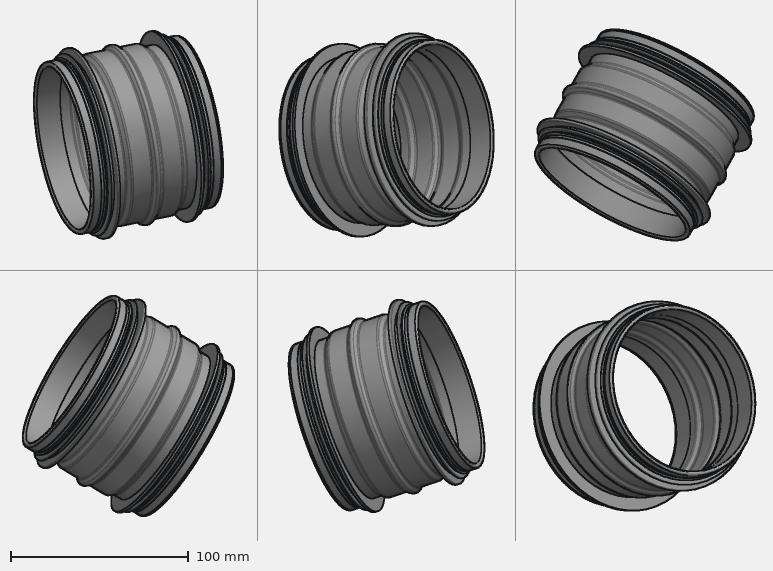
import cadquery as cq
import math

sheet = 0.5
length = 79.0
neck_outer_r = 94.25 / 2
body_outer_r = 99.05 / 2
neck_inner_r = neck_outer_r - sheet
body_inner_r = body_outer_r - sheet
bead_height = 2.35
bead_angle = math.radians(43)
step_angle = math.radians(39)
step_foot_y = 18.6
bend_inside = 1.5
bend_tight_outside = bend_inside - sheet
bend_wide_outside = bend_inside + sheet

hem_length = 6.0
hem_bend_r = (body_outer_r - neck_inner_r) / 2
hem_middle_r = (body_outer_r + neck_inner_r) / 2
hem_end_y = length / 2
hem_bend_y = hem_end_y - hem_bend_r
hem_edge_y = hem_end_y - hem_length

seal_start_y = 24.1
flange_r = 109.45 / 2
flange_thickness = 1.7
lip_thickness = 1.25
wide_lip_r = 104.45 / 2
wide_lip_y = 28.25
narrow_lip_r = 50.25
narrow_lip_y = 30.45
rim_rounding = 0.3


def ramp_run(rise, angle, bend_sum):
    """Length along Y of a sloped flank with a bend at its foot and its crest."""
    return bend_sum * math.tan(angle / 2) + rise / math.tan(angle)


def ramp_points(foot, rise, away, angle, foot_bend, crest_bend):
    """(radius, y) points of a ramp that climbs from foot toward +Y (away 1) or -Y (away -1).

    In order: foot, middle and end of the foot bend, start and middle of the crest bend, crest.
    """
    foot_r, foot_y = foot
    crest_r = foot_r + rise
    crest_y = foot_y + away * ramp_run(rise, angle, foot_bend + crest_bend)

    def on_foot_bend(turn):
        return (foot_r + foot_bend * (1 - math.cos(turn)), foot_y + away * foot_bend * math.sin(turn))

    def on_crest_bend(turn):
        return (crest_r - crest_bend * (1 - math.cos(turn)), crest_y - away * crest_bend * math.sin(turn))

    return [foot, on_foot_bend(angle / 2), on_foot_bend(angle),
            on_crest_bend(angle), on_crest_bend(angle / 2), (crest_r, crest_y)]


def ramp(pen, points):
    """Draw a whole ramp, from foot to crest or, with its points reversed, from crest to foot."""
    start, first_middle, first_end, second_start, second_middle, end = points
    pen = pen.lineTo(*start).threePointArc(first_middle, first_end)
    return pen.lineTo(*second_start).threePointArc(second_middle, end)


def bead(pen, points):
    """Draw the bead from its first ramp, whose mirror image across y = 0 is the second one."""
    foot, foot_middle, flank_foot, flank_top, _, peak = points
    pen = pen.lineTo(*foot).threePointArc(foot_middle, flank_foot).lineTo(*flank_top)
    pen = pen.threePointArc(peak, across(flank_top)).lineTo(*across(flank_foot))
    return pen.threePointArc(across(foot_middle), across(foot))


def across(point):
    """Mirror image of a (radius, y) point across y = 0."""
    return (point[0], -point[1])


def wall(pen, neck_r, body_r, side, foot_bend, crest_bend):
    """Draw one skin of the sleeve from neck to neck, toward +Y (side 1) or -Y (side -1)."""
    bead_run = ramp_run(bead_height, bead_angle, foot_bend + crest_bend)
    step_foot = (neck_r, -side * step_foot_y)
    bead_foot = (body_r, -side * bead_run)
    step_up = ramp_points(step_foot, body_r - neck_r, side, step_angle, foot_bend, crest_bend)
    step_down = [across(point) for point in reversed(step_up)]
    bead_half = ramp_points(bead_foot, bead_height, side, bead_angle, foot_bend, crest_bend)
    pen = ramp(pen, step_up)
    pen = bead(pen, bead_half)
    pen = ramp(pen, step_down)
    return pen.lineTo(neck_r, side * hem_bend_y)


def around_axis(section):
    """Close a (radius, y) section and revolve it around the Y axis."""
    return section.close().revolve(360, (0, 0, 0), (0, 1, 0))


def make_sleeve():
    inside_fold_y = hem_end_y - sheet
    pen = cq.Workplane("XY").moveTo(body_outer_r, -hem_edge_y).lineTo(body_inner_r, -hem_edge_y)
    pen = pen.lineTo(body_inner_r, -hem_bend_y)
    pen = pen.threePointArc((hem_middle_r, -inside_fold_y), (neck_outer_r, -hem_bend_y))
    pen = wall(pen, neck_outer_r, body_outer_r, 1, bend_tight_outside, bend_wide_outside)
    pen = pen.threePointArc((hem_middle_r, inside_fold_y), (body_inner_r, hem_bend_y))
    pen = pen.lineTo(body_inner_r, hem_edge_y).lineTo(body_outer_r, hem_edge_y)
    pen = pen.lineTo(body_outer_r, hem_bend_y)
    pen = pen.threePointArc((hem_middle_r, hem_end_y), (neck_inner_r, hem_bend_y))
    pen = wall(pen, neck_inner_r, body_inner_r, -1, bend_inside, bend_inside)
    pen = pen.threePointArc((hem_middle_r, -hem_end_y), (body_outer_r, -hem_bend_y))
    return around_axis(pen)


def ring(outer_r, start_y, end_y):
    """Flat ring that sits on the neck."""
    section = cq.Workplane("XY").moveTo(neck_outer_r, start_y).lineTo(outer_r, start_y)
    return around_axis(section.lineTo(outer_r, end_y).lineTo(neck_outer_r, end_y))


def rim_edges(disc):
    """The circles around the outside of a ring."""
    return disc.edges("%CIRCLE").edges(cq.selectors.RadiusNthSelector(-1))


def make_narrow_lip():
    """Ring with a fully rounded rim."""
    end_y = narrow_lip_y + lip_thickness
    round_start_r = narrow_lip_r - lip_thickness / 2
    section = cq.Workplane("XY").moveTo(neck_outer_r, narrow_lip_y).lineTo(round_start_r, narrow_lip_y)
    section = section.threePointArc((narrow_lip_r, narrow_lip_y + lip_thickness / 2), (round_start_r, end_y))
    return around_axis(section.lineTo(neck_outer_r, end_y))


def make_seal():
    """Seal at the +Y end: base reaching under the hem, flange and two lips."""
    base = ring(body_inner_r, seal_start_y, hem_bend_y)
    flange = ring(flange_r, seal_start_y, seal_start_y + flange_thickness)
    flange = rim_edges(flange).edges(">Y").fillet(rim_rounding)
    wide_lip = ring(wide_lip_r, wide_lip_y, wide_lip_y + lip_thickness)
    wide_lip = rim_edges(wide_lip).fillet(rim_rounding)
    return base.union(flange).union(wide_lip).union(make_narrow_lip())


sleeve = make_sleeve()
seal = make_seal()
seals = [seal, seal.mirror("XZ")]

result = cq.Compound.makeCompound([sleeve.val(), *[copy.solids().val() for copy in seals]])